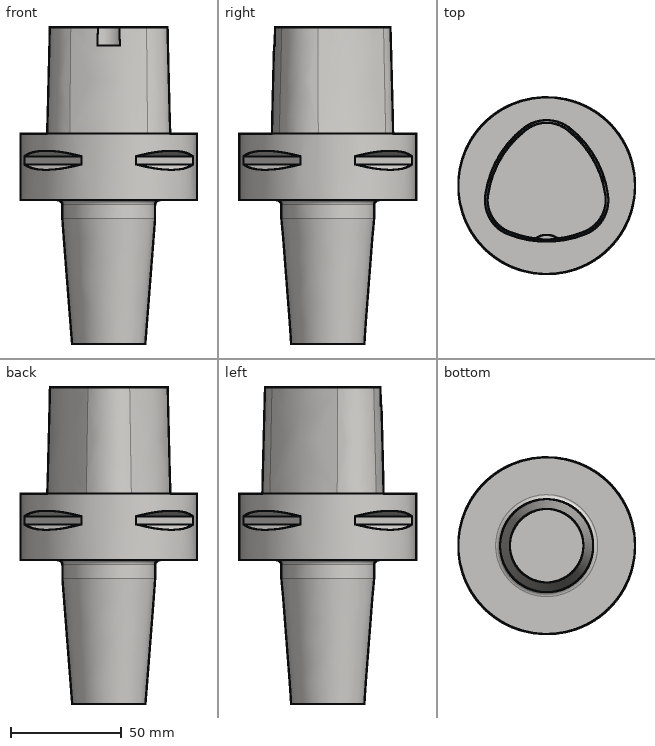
import cadquery as cq
import math

total_height = 143.0
flange_diameter = 80.0
flange_height = 30.0
shank_height = 48.0
stem_height = total_height - flange_height - shank_height
flange_top = stem_height + flange_height

stem_diameter = 42.0
stem_tip_diameter = 33.2
neck_height = 8.2
neck_fillet = 2.0

lobe_center_distance = 13.0
lobe_radius = 16.6
side_distance = 25.3
shank_inset = 1.22

notch_radius = 7.9
notch_inner_distance = 22.2
notch_depth = 8.3

groove_count = 4
groove_floor_distance = 35.6
groove_floor_width = 3.6
groove_wall_angle = 30.0
groove_center_below_top = 12.0


def polar(radius, angle):
    """Point at a distance from the origin, angle in degrees from +X."""
    return (radius * math.cos(math.radians(angle)), radius * math.sin(math.radians(angle)))


def make_body():
    """Stem and flange, turned about Z."""
    flange_radius = flange_diameter / 2
    neck_radius = stem_diameter / 2
    fillet_offset = neck_fillet * (1 - math.sqrt(0.5))
    return (
        cq.Workplane("XZ")
        .lineTo(stem_tip_diameter / 2, 0)
        .lineTo(neck_radius, stem_height - neck_height)
        .lineTo(neck_radius, stem_height - neck_fillet)
        .threePointArc(
            (neck_radius + fillet_offset, stem_height - fillet_offset),
            (neck_radius + neck_fillet, stem_height),
        )
        .lineTo(flange_radius, stem_height)
        .lineTo(flange_radius, flange_top)
        .lineTo(0, flange_top)
        .close()
        .revolve(360, (0, 0, 0), (0, 1, 0))
    )


def make_shank():
    """Tapered three-lobed shank with one lobe toward +Y and one side toward -Y."""
    reach = side_distance - lobe_radius
    side_center_distance = (lobe_center_distance**2 - reach**2) / (2 * reach - lobe_center_distance)
    lobe_offset_across = lobe_center_distance * math.sin(math.radians(60))
    lobe_offset_along = side_center_distance + lobe_center_distance / 2
    side_half_angle = math.degrees(math.atan2(lobe_offset_across, lobe_offset_along))

    lobe_half_angle = 60 - side_half_angle

    def lobe_point(lobe_angle, normal_angle):
        center_x, center_y = polar(lobe_center_distance, lobe_angle)
        dx, dy = polar(lobe_radius, normal_angle)
        return (center_x + dx, center_y + dy)

    first_lobe = -30
    outline = cq.Workplane("XY").workplane(offset=flange_top)
    outline = outline.moveTo(*lobe_point(first_lobe, first_lobe - lobe_half_angle))
    for lobe_angle in (first_lobe, first_lobe + 120, first_lobe + 240):
        next_lobe = lobe_angle + 120
        outline = outline.threePointArc(
            lobe_point(lobe_angle, lobe_angle),
            lobe_point(lobe_angle, lobe_angle + lobe_half_angle),
        )
        outline = outline.threePointArc(
            polar(side_distance, lobe_angle + 60),
            lobe_point(next_lobe, next_lobe - lobe_half_angle),
        )
    taper_angle = math.degrees(math.atan2(shank_inset, shank_height))
    return outline.close().extrude(shank_height, taper=taper_angle)


def make_notch():
    """Round-backed notch cutter at the middle of the -Y side."""
    return (
        cq.Workplane("XY")
        .workplane(offset=total_height - notch_depth)
        .center(0, -notch_inner_distance - notch_radius)
        .circle(notch_radius)
        .extrude(notch_depth)
    )


def make_groove(angle):
    """Straight groove cutter with a flat floor and flared walls, facing the given angle."""
    rim_distance = flange_diameter / 2 + 1.5
    floor_half = groove_floor_width / 2
    flare = (rim_distance - groove_floor_distance) * math.tan(math.radians(groove_wall_angle))
    rim_half = floor_half + flare
    return (
        cq.Workplane("XZ")
        .polyline([
            (groove_floor_distance, -floor_half),
            (rim_distance, -rim_half),
            (rim_distance, rim_half),
            (groove_floor_distance, floor_half),
        ])
        .close()
        .extrude(flange_diameter / 2, both=True)
        .translate((0, 0, flange_top - groove_center_below_top))
        .rotate((0, 0, 0), (0, 0, 1), angle)
    )


result = make_body().union(make_shank()).cut(make_notch())
for index in range(groove_count):
    result = result.cut(make_groove(45 + index * 360 / groove_count))